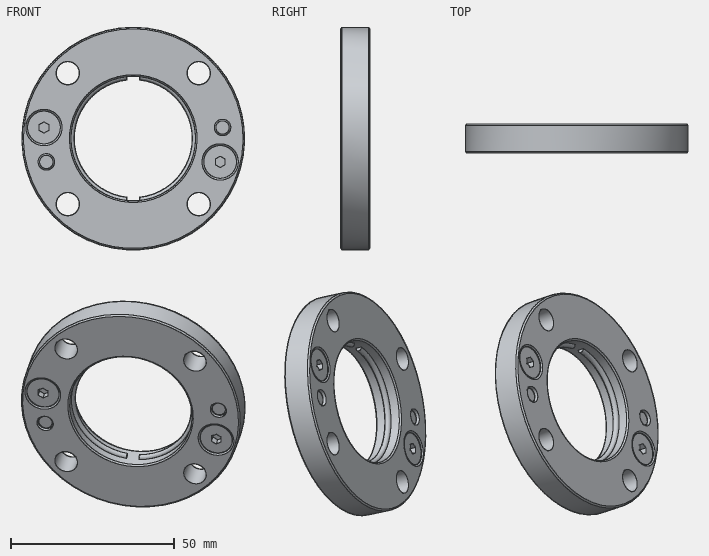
import cadquery as cq
import math

ring_diameter = 68.0
ring_thickness = 9.0
bore_diameter = 38.0
edge_chamfer = 0.5

mounting_hole_diameter = 7.0
mounting_hole_offset = 20.0

bead_radius = 1.0
bead_gap = 3.9

screw_circle_radius = 27.5
upper_screw_angle = 172.9
lower_screw_angle = -15.0
head_diameter = 10.0
head_height = 3.5
head_mouth_chamfer = 0.55
head_recess = 0.3
shank_diameter = 5.0
tip_recess = 0.75
tip_chamfer = 0.5
hex_across_flats = 3.0
hex_depth = 2.5

front_y = -ring_thickness / 2
back_y = ring_thickness / 2
head_top_y = front_y + head_recess
head_seat_y = head_top_y + head_height
tip_y = back_y - tip_recess


def cylinder(diameter, start_y, end_y, x=0.0, z=0.0):
    """Cylinder along Y between two Y positions."""
    solid = cq.Solid.makeCylinder(diameter / 2, end_y - start_y, cq.Vector(x, start_y, z), cq.Vector(0, 1, 0))
    return cq.Workplane(obj=solid)


def at_screw_positions(body):
    """Four copies: two facing the front, and their half turns about Z facing the back."""
    copies = []
    for angle in (upper_screw_angle, lower_screw_angle):
        x = screw_circle_radius * math.cos(math.radians(angle))
        z = screw_circle_radius * math.sin(math.radians(angle))
        front_copy = body.translate((x, 0, z))
        copies.append(front_copy)
        copies.append(front_copy.rotate((0, 0, 0), (0, 0, 1), 180))
    return copies


def make_screw():
    """Cap screw on the Y axis, with its head towards the front."""
    head = cylinder(head_diameter, head_top_y, head_seat_y)
    shank = cylinder(shank_diameter, head_seat_y, tip_y).faces(">Y").chamfer(tip_chamfer)
    socket = (
        cq.Workplane("XZ", origin=(0, head_top_y, 0))
        .polygon(6, hex_across_flats / math.cos(math.pi / 6))
        .extrude(-hex_depth)
        .rotate((0, 0, 0), (0, 1, 0), 30)
    )
    return head.union(shank).cut(socket)


def make_screw_hole():
    """Counterbored through hole with a chamfered mouth, as a cutting body."""
    counterbore = cylinder(head_diameter, front_y, head_seat_y)
    clearance = cylinder(shank_diameter, front_y, back_y)
    mouth = cq.Workplane(obj=cq.Solid.makeCone(
        head_diameter / 2 + head_mouth_chamfer, head_diameter / 2, head_mouth_chamfer,
        cq.Vector(0, front_y, 0), cq.Vector(0, 1, 0),
    ))
    return counterbore.union(clearance).union(mouth)


def make_beads():
    """Round wire shape centred on the bore wall, interrupted by the two gaps."""
    bead = cq.Workplane(obj=cq.Solid.makeTorus(
        bore_diameter / 2, bead_radius, cq.Vector(0, 0, 0), cq.Vector(0, 1, 0),
    ))
    gap = cq.Workplane("XY").box(bead_gap, ring_thickness, ring_diameter)
    return bead.cut(gap)


def make_flange():
    ring = cylinder(ring_diameter, front_y, back_y).cut(cylinder(bore_diameter, front_y, back_y))
    flange = ring.faces("<Y or >Y").edges().chamfer(edge_chamfer)
    flange = flange.union(make_beads())
    for x in (-mounting_hole_offset, mounting_hole_offset):
        for z in (-mounting_hole_offset, mounting_hole_offset):
            flange = flange.cut(cylinder(mounting_hole_diameter, front_y, back_y, x, z))
    for hole in at_screw_positions(make_screw_hole()):
        flange = flange.cut(hole)
    return flange


flange = make_flange()
screws = at_screw_positions(make_screw())
result = cq.Compound.makeCompound([flange.val(), *[screw.val() for screw in screws]])